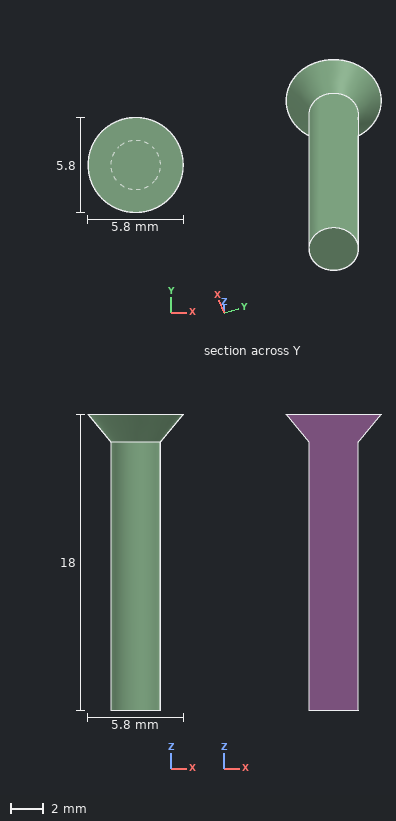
import cadquery as cq

total_length = 18.0
head_diameter = 5.8
shank_diameter = 3.0
head_height = 1.7

head_radius = head_diameter / 2
shank_radius = shank_diameter / 2
shank_length = total_length - head_height

half_profile = (
    cq.Workplane("XZ")
    .moveTo(0, 0)
    .lineTo(shank_radius, 0)
    .lineTo(shank_radius, shank_length)
    .lineTo(head_radius, total_length)
    .lineTo(0, total_length)
    .close()
)

result = half_profile.revolve(360, (0, 0, 0), (0, 1, 0))